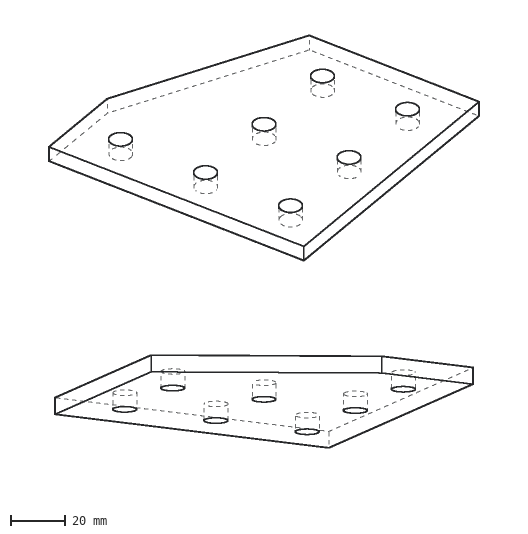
import cadquery as cq

side = 114.3
thickness = 6.4
hole_diameter = 8.8
cells = 3

pitch = side / cells

plate = (
    cq.Workplane("XY")
    .polyline([(0, 0), (side, 0), (side, side), (pitch, side), (0, pitch)])
    .close()
    .extrude(thickness)
)

hole_centres = [
    ((column + 0.5) * pitch, (row + 0.5) * pitch)
    for column in range(cells)
    for row in range(cells)
    if column > 0 or row == 0
]
holes = (
    cq.Workplane("XY")
    .pushPoints(hole_centres)
    .circle(hole_diameter / 2)
    .extrude(thickness)
)

result = plate.cut(holes)